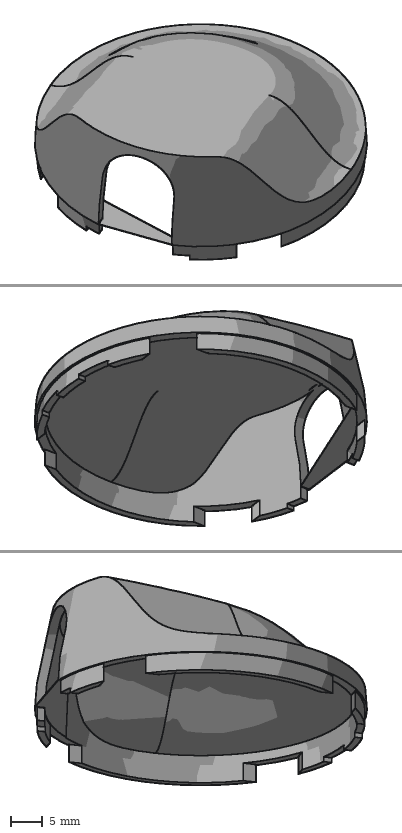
import cadquery as cq
import math


RING_BOTTOM_RADIUS = 26.65
RING_BOTTOM = 3.0
SHOULDER_RADIUS = 26.35
SHOULDER_HEIGHT = 7.07
FRONT_MID_RADIUS = 25.06
FRONT_MID_HEIGHT = 13.5
FRONT_TOP_RADIUS = 23.75
FRONT_TOP_HEIGHT = 20.0
WALL = 1.6
INNER_RADIUS = RING_BOTTOM_RADIUS - WALL

ROOF_HEIGHT = 16.69
ROOF_SLOPE = 0.1707
ROOF_BEND = 0.00244
RIDGE_HALF_WIDTH = 12.0
SKIRT_REACH = 14.45
SKIRT_FOOT = 6.15
SKIRT_START_SLOPE = 0.05
ROOF_THICKNESS = 1.55

LIP_RADIUS = 26.3
GAP_PLANE = 21.1
NOTCH_NEAR = 3.0
NOTCH_FAR = 9.06
NOTCH_DEPTH = 0.8

OPENING_FOOT_HALF_WIDTH = 6.5
ARCH_RADIUS = 6.3
ARCH_TOP = 17.8
OPENING_DEPTH = 8.0

WEB_THICKNESS = 0.1
WEB_LEFT_END = (-19.1, -16.8)
WEB_LEFT_WALL = (-14.0, -21.5)

OVERLAP = 1.0
EXTENT = 30.0
SKIRT_STEPS = 24
SWEEP_STEPS = 8
SURFACE_TOLERANCE = 0.005


def roof_height(y):
    return ROOF_HEIGHT - ROOF_SLOPE * y - ROOF_BEND * y**2


def roof_gradient(y):
    return -ROOF_SLOPE - 2 * ROOF_BEND * y


def skirt_height(distance, reach, edge_height, edge_slope, foot):
    """Height of the skirt at a horizontal distance outside the ridge edge."""
    slope = edge_slope - SKIRT_START_SLOPE
    if distance < 0:
        return edge_height + slope * distance
    t = min(distance / reach, 1.0)
    cubic_step = t**2 * (3 - 2 * t)
    quintic_step = t**3 * (10 - 15 * t + 6 * t**2)
    fall = (cubic_step + quintic_step) / 2
    return edge_height + (foot - edge_height) * fall + slope * reach * t * (1 - t) ** 2


def part_below(block, surface):
    """The lower piece of a block cut in two by a surface."""
    pieces = block.val().split(surface).Solids()
    return cq.Workplane(min(pieces, key=lambda piece: piece.Center().z))


def dome(drop, foot, reach):
    """Space under the roof lowered by `drop`, with skirts that run out to height `foot`."""
    surface_run = reach + 2 * OVERLAP
    distances = [-OVERLAP + surface_run * i / SKIRT_STEPS for i in range(SKIRT_STEPS + 1)]
    fractions = [i / SWEEP_STEPS for i in range(SWEEP_STEPS + 1)]
    core = RIDGE_HALF_WIDTH - OVERLAP / 2
    rim = RIDGE_HALF_WIDTH + reach + OVERLAP / 2

    def side_point(distance, y):
        z = skirt_height(distance, reach, roof_height(y) - drop, 0, foot)
        return cq.Vector(RIDGE_HALF_WIDTH + distance, y, z)

    def back_point(distance, angle):
        y = RIDGE_HALF_WIDTH * math.sin(angle)
        slope = roof_gradient(y) * math.sin(angle)
        z = skirt_height(distance, reach, roof_height(y) - drop, slope, foot)
        radius = RIDGE_HALF_WIDTH + distance
        return cq.Vector(radius * math.cos(angle), radius * math.sin(angle), z)

    side_surface = cq.Face.makeSplineApprox(
        [[side_point(d, -EXTENT * f) for f in fractions] for d in distances], tol=SURFACE_TOLERANCE
    )
    back_surface = cq.Face.makeSplineApprox(
        [[back_point(d, math.pi * f) for f in fractions] for d in distances], tol=SURFACE_TOLERANCE
    )

    side_block = cq.Workplane().box(rim - core, EXTENT, EXTENT, centered=False)
    side_block = side_block.translate((core, -EXTENT, 0))
    right_side = part_below(side_block, side_surface)
    left_side = right_side.mirror("YZ")

    back_half = cq.Workplane().box(2 * EXTENT, EXTENT, EXTENT, centered=(True, False, False))
    back_block = cq.Workplane().circle(rim).circle(core).extrude(EXTENT).intersect(back_half)
    back = part_below(back_block, back_surface)

    middle = cq.Workplane().circle(core).extrude(EXTENT)
    middle = middle.union(
        cq.Workplane().box(2 * core, EXTENT, EXTENT, centered=(True, False, False))
        .translate((0, -EXTENT, 0))
    )
    skirted = middle.val().fuse(right_side.val(), left_side.val(), back.val())
    return cq.Workplane(skirted).intersect(space_under_roof(drop))


def space_under_roof(drop):
    """Everything below the parabolic roof, which is straight along X."""
    front_height = roof_height(-EXTENT) - drop
    back_height = roof_height(EXTENT) - drop
    control_height = front_height + roof_gradient(-EXTENT) * EXTENT
    return (
        cq.Workplane("YZ")
        .moveTo(-EXTENT, 0)
        .lineTo(-EXTENT, front_height)
        .bezier([(-EXTENT, front_height), (0, control_height), (EXTENT, back_height)])
        .lineTo(EXTENT, 0)
        .close()
        .extrude(2 * EXTENT)
        .translate((-EXTENT, 0, 0))
    )


def drafted_drum(inset):
    """Solid of revolution inside the outer wall, its radius reduced by `inset`."""
    return (
        cq.Workplane("YZ")
        .moveTo(0, RING_BOTTOM)
        .lineTo(RING_BOTTOM_RADIUS - inset, RING_BOTTOM)
        .lineTo(SHOULDER_RADIUS - inset, SHOULDER_HEIGHT)
        .threePointArc(
            (FRONT_MID_RADIUS - inset, FRONT_MID_HEIGHT),
            (FRONT_TOP_RADIUS - inset, FRONT_TOP_HEIGHT),
        )
        .lineTo(0, FRONT_TOP_HEIGHT)
        .close()
        .revolve(360, (0, 0, 0), (0, 1, 0))
    )


def hood():
    outside = drafted_drum(0).intersect(dome(0, SKIRT_FOOT, SKIRT_REACH))
    inner_reach = SKIRT_REACH - WALL
    cavity = drafted_drum(WALL).intersect(
        dome(ROOF_THICKNESS, SKIRT_FOOT - ROOF_THICKNESS, inner_reach)
    )
    return outside.cut(cavity)


def lip():
    ring = cq.Workplane().circle(LIP_RADIUS).circle(INNER_RADIUS).extrude(RING_BOTTOM)
    corner_gaps = cq.Workplane().rect(2 * GAP_PLANE, 2 * GAP_PLANE).extrude(RING_BOTTOM)
    notch_middle = (NOTCH_NEAR + NOTCH_FAR) / 2
    notches = (
        cq.Workplane()
        .pushPoints([(-notch_middle, 0), (notch_middle, 0)])
        .rect(NOTCH_FAR - NOTCH_NEAR, 2 * EXTENT)
        .extrude(NOTCH_DEPTH)
    )
    return ring.cut(corner_gaps).cut(notches)


def front_opening():
    """Slightly tapered doorway with a round arch, open at the bottom."""
    arch_centre = ARCH_TOP - ARCH_RADIUS
    return (
        cq.Workplane("XZ")
        .moveTo(-OPENING_FOOT_HALF_WIDTH, 0)
        .lineTo(-ARCH_RADIUS, arch_centre)
        .threePointArc((0, ARCH_TOP), (ARCH_RADIUS, arch_centre))
        .lineTo(OPENING_FOOT_HALF_WIDTH, 0)
        .close()
        .extrude(OPENING_DEPTH)
        .translate((0, OPENING_DEPTH - EXTENT, 0))
    )


def sill_web():
    """Thin sheet across the foot of the opening, its inner edge running off at a slant."""
    half_width = OPENING_FOOT_HALF_WIDTH
    front = -math.sqrt(RING_BOTTOM_RADIUS**2 - half_width**2)
    right_back = -math.sqrt(INNER_RADIUS**2 - half_width**2)
    corners = [
        (-half_width, front),
        (half_width, front),
        (half_width, right_back),
        WEB_LEFT_END,
        WEB_LEFT_WALL,
    ]
    return (
        cq.Workplane()
        .workplane(offset=RING_BOTTOM)
        .polyline(corners)
        .close()
        .extrude(WEB_THICKNESS)
    )


result = hood().union(lip()).cut(front_opening()).union(sill_web()).solids()